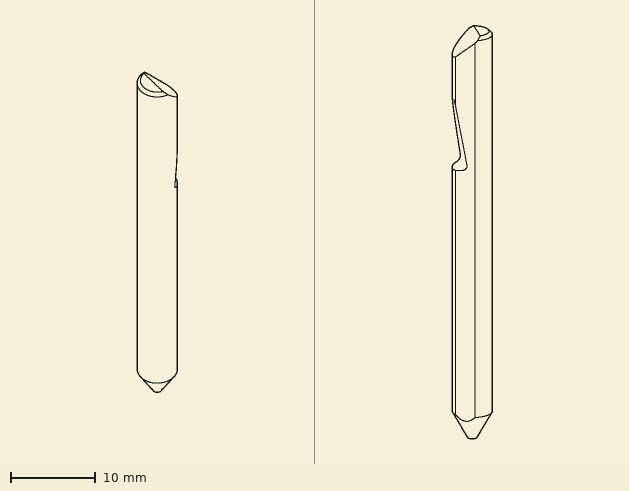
import cadquery as cq

length = 50.8
radius = 2.4
top_chamfer = 0.4

tip_radius = 0.55
cone_top = 3.3

bevel_front_y = -0.55

flat_distance = 2.05
flat_angle = 145.0

notch_top = 43.0
notch_slope = 9.5
notch_run = 9.05
notch_fillet = 0.65

clearance = 2 * radius


def pin_body():
    """Round pin with a chamfered top and a conical, blunt-ended point."""
    half_section = (
        cq.Workplane("XZ")
        .lineTo(tip_radius, 0)
        .lineTo(radius, cone_top)
        .lineTo(radius, length - top_chamfer)
        .lineTo(radius - top_chamfer, length)
        .lineTo(0, length)
        .close()
    )
    return half_section.revolve(360, (0, 0, 0), (0, 1, 0))


def top_bevel():
    """Wedge that slopes the top down at 45 degrees toward +Y."""
    outer_y = bevel_front_y + clearance
    return (
        cq.Workplane("YZ")
        .moveTo(bevel_front_y, length)
        .lineTo(outer_y, length)
        .lineTo(outer_y, length - clearance)
        .close()
        .extrude(radius, both=True)
    )


def side_flat():
    """Block that leaves a full-length flat on the -X, +Y side."""
    return (
        cq.Workplane("XY")
        .box(clearance, clearance, length, centered=(False, True, False))
        .translate((flat_distance, 0, 0))
        .rotate((0, 0, 0), (0, 0, 1), flat_angle)
    )


def side_notch():
    """Square-ended notch whose floor deepens downward from the +Y surface."""
    return (
        cq.Workplane("XY")
        .box(clearance, clearance, notch_run, centered=(True, False, False))
        .edges("|X and <Y and <Z")
        .fillet(notch_fillet)
        .translate((0, 0, -notch_run))
        .rotate((0, 0, 0), (1, 0, 0), -notch_slope)
        .translate((0, radius, notch_top))
    )


result = pin_body().cut(top_bevel()).cut(side_flat()).cut(side_notch())